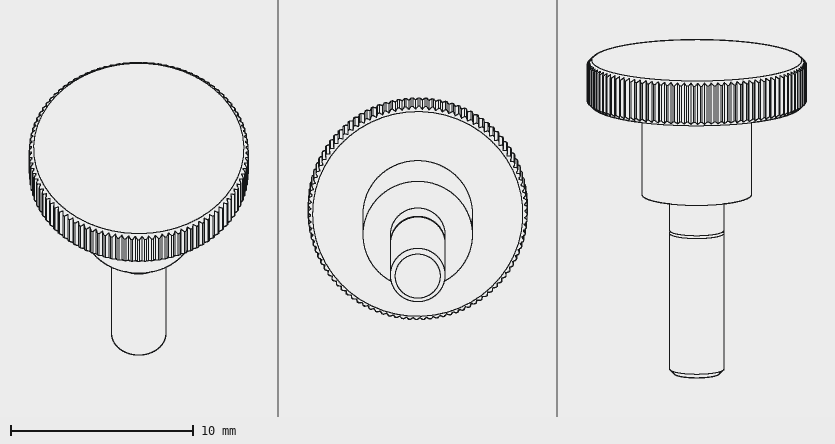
import cadquery as cq
import math

TOTAL_LENGTH = 17.5
HEAD_HEIGHT = 2.5
COLLAR_HEIGHT = 5.0
NECK_LENGTH = 2.0

HEAD_DIAMETER = 12.0
COLLAR_DIAMETER = HEAD_DIAMETER / 2
SHANK_DIAMETER = HEAD_DIAMETER / 4

HEAD_CHAMFER = 0.25
TIP_CHAMFER = 0.26

GROOVE_HEIGHT = 0.15
GROOVE_SLOPE = 30.0
GROOVE_DEPTH = GROOVE_HEIGHT / math.tan(math.radians(GROOVE_SLOPE))

KNURL_COUNT = 100
KNURL_DEPTH = 0.14
KNURL_WIDTH = 2 * KNURL_DEPTH

HEAD_BOTTOM = TOTAL_LENGTH - HEAD_HEIGHT
COLLAR_BOTTOM = HEAD_BOTTOM - COLLAR_HEIGHT
NECK_BOTTOM = COLLAR_BOTTOM - NECK_LENGTH


def knurl_outline():
    """Closed toothed outline: a circle with evenly spaced V grooves."""
    rim = HEAD_DIAMETER / 2
    root = rim - KNURL_DEPTH
    pitch = 2 * math.pi / KNURL_COUNT
    half_groove = KNURL_WIDTH / HEAD_DIAMETER

    def at(radius, angle):
        return radius * math.cos(angle), radius * math.sin(angle)

    outline = cq.Workplane("XY").workplane(offset=HEAD_BOTTOM).moveTo(*at(root, 0))
    for tooth in range(KNURL_COUNT):
        start = tooth * pitch
        end = start + pitch
        outline = outline.lineTo(*at(rim, start + half_groove))
        outline = outline.threePointArc(at(rim, start + pitch / 2), at(rim, end - half_groove))
        if tooth < KNURL_COUNT - 1:
            outline = outline.lineTo(*at(root, end))
    return outline.close()


def knob():
    """Knurled disc with its rim chamfered at both faces."""
    chamfered_disc = (
        cq.Workplane("XY")
        .workplane(offset=HEAD_BOTTOM)
        .circle(HEAD_DIAMETER / 2)
        .extrude(HEAD_HEIGHT)
        .edges()
        .chamfer(HEAD_CHAMFER)
    )
    return knurl_outline().extrude(HEAD_HEIGHT).intersect(chamfered_disc)


def stem():
    """Collar, neck, groove and shank as one turned profile."""
    collar = COLLAR_DIAMETER / 2
    shank = SHANK_DIAMETER / 2
    groove = shank - GROOVE_DEPTH
    return (
        cq.Workplane("XZ")
        .moveTo(0, 0)
        .lineTo(shank - TIP_CHAMFER, 0)
        .lineTo(shank, TIP_CHAMFER)
        .lineTo(shank, NECK_BOTTOM - GROOVE_HEIGHT)
        .lineTo(groove, NECK_BOTTOM)
        .lineTo(shank, NECK_BOTTOM)
        .lineTo(shank, COLLAR_BOTTOM)
        .lineTo(collar, COLLAR_BOTTOM)
        .lineTo(collar, HEAD_BOTTOM)
        .lineTo(0, HEAD_BOTTOM)
        .close()
        .revolve(360, (0, 0, 0), (0, 1, 0))
    )


result = knob().union(stem())